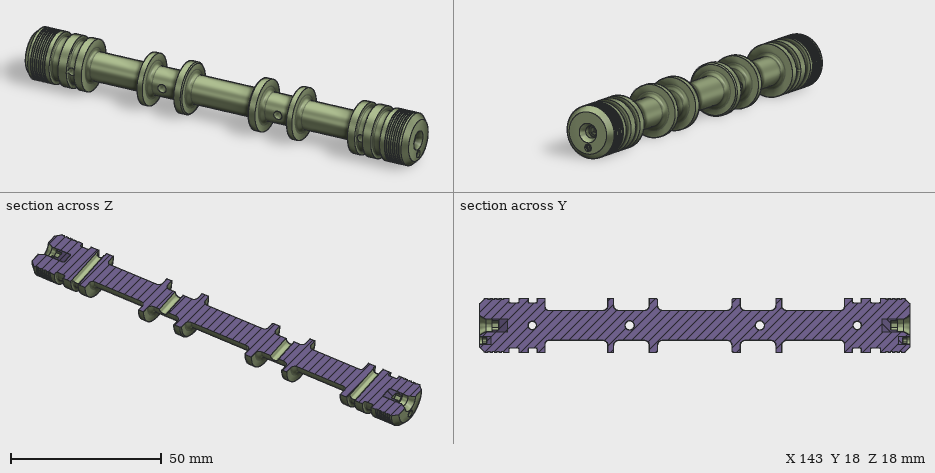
import cadquery as cq
LENGTH = 143.0
MIDDLE = LENGTH / 2

OUTER_DIA = 18.0
SHAFT_DIA = 10.0
SEAL_GROOVE_DIA = 15.0
RELIEF_GROOVE_DIA = 17.5
OUTER_R = OUTER_DIA / 2
SHAFT_R = SHAFT_DIA / 2
SEAL_GROOVE_R = SEAL_GROOVE_DIA / 2

END_CHAMFER = 1.9
OUTER_SEAL_GROOVE = (9.9, 13.2)
PORT_GROOVE = (16.3, 19.2)
HEAD_END = 21.9
OUTER_COLLAR = (42.6, 44.6)
INNER_COLLAR = (56.3, 59.2)
COLLAR_CHAMFER = 0.5
HEAD_FILLET = 1.1
COLLAR_FILLET = 1.6
SEAL_GROOVE_FILLET = 0.5

RELIEF_COUNT = 4
RELIEF_FIRST = 3.22
RELIEF_PITCH = 1.5
RELIEF_WIDTH = 0.7

PORT_HOLE_DIA = 2.7
PORT_HOLE_X = 17.6
SHAFT_HOLE_DIA = 3.0
SHAFT_HOLE_X = 49.9

SOCKET_SIDES = 6

CENTRE_SCREW_DIA = 4.1
CENTRE_SCREW_LENGTH = 5.0
CENTRE_SCREW_RECESS = 4.3
CENTRE_SOCKET_DIA = 3.0
CENTRE_SOCKET_DEPTH = 2.1
COUNTERSINK_DIA = 6.6
COUNTERSINK_DEPTH = 2.1

OFFSET_SCREW_DIA = 2.5
OFFSET_SCREW_LENGTH = 2.9
OFFSET_SCREW_RECESS = 1.0
OFFSET_SCREW_Z = -5.0
OFFSET_SOCKET_DIA = 1.9
OFFSET_SOCKET_DEPTH = 1.5

AXIS_START = (0, 0, 0)
AXIS_END = (1, 0, 0)


def mirrored(body):
    """The same body at the other end of the spool."""
    return body.mirror("YZ", (MIDDLE, 0, 0))


def both_ends(body):
    """The solids of a body at the left end and of its copy at the right end."""
    return [placed.solids().val() for placed in (body, mirrored(body))]


def cylinder_x(diameter, start, length, z=0.0):
    """A cylinder along X."""
    return cq.Workplane("YZ", origin=(start, 0, z)).circle(diameter / 2).extrude(length)


def cylinder_y(diameter, x):
    """A cylinder along Y that crosses the whole spool."""
    return cq.Workplane("XZ", origin=(x, 0, 0)).circle(diameter / 2).extrude(OUTER_DIA, both=True)


def collar_outline(outline, start, end, end_chamfer=0.0):
    """Continue the outline from the shaft over a collar and back to the shaft."""
    outline = (
        outline.lineTo(start - COLLAR_FILLET, SHAFT_R)
        .radiusArc((start, SHAFT_R + COLLAR_FILLET), -COLLAR_FILLET)
        .lineTo(start, OUTER_R)
        .lineTo(end - end_chamfer, OUTER_R)
    )
    if end_chamfer:
        outline = outline.lineTo(end, OUTER_R - end_chamfer)
    outline = outline.lineTo(end, SHAFT_R + COLLAR_FILLET)
    return outline.radiusArc((end + COLLAR_FILLET, SHAFT_R), -COLLAR_FILLET)


def seal_groove_outline(outline, start, end):
    """Continue the outline through a groove whose floor is rounded into both walls."""
    fillet_top = SEAL_GROOVE_R + SEAL_GROOVE_FILLET
    return (
        outline.lineTo(start, OUTER_R)
        .lineTo(start, fillet_top)
        .radiusArc((start + SEAL_GROOVE_FILLET, SEAL_GROOVE_R), -SEAL_GROOVE_FILLET)
        .lineTo(end - SEAL_GROOVE_FILLET, SEAL_GROOVE_R)
        .radiusArc((end, fillet_top), -SEAL_GROOVE_FILLET)
        .lineTo(end, OUTER_R)
    )


def half_turning():
    """The left half of the turned spool, without its narrow grooves and holes."""
    outline = cq.Workplane("XY").lineTo(0, OUTER_R - END_CHAMFER).lineTo(END_CHAMFER, OUTER_R)
    outline = seal_groove_outline(outline, *OUTER_SEAL_GROOVE)
    outline = seal_groove_outline(outline, *PORT_GROOVE)
    outline = (
        outline.lineTo(HEAD_END, OUTER_R)
        .lineTo(HEAD_END, SHAFT_R + HEAD_FILLET)
        .radiusArc((HEAD_END + HEAD_FILLET, SHAFT_R), -HEAD_FILLET)
    )
    outline = collar_outline(outline, *OUTER_COLLAR)
    outline = collar_outline(outline, *INNER_COLLAR, end_chamfer=COLLAR_CHAMFER)
    outline = outline.lineTo(MIDDLE, SHAFT_R).lineTo(MIDDLE, 0).close()
    return outline.revolve(360, AXIS_START, AXIS_END)


def relief_groove(index):
    """The ring of material removed by one narrow groove."""
    start = RELIEF_FIRST + index * RELIEF_PITCH - RELIEF_WIDTH / 2
    ring = cq.Workplane("YZ", origin=(start, 0, 0)).circle(OUTER_DIA).circle(RELIEF_GROOVE_DIA / 2)
    return ring.extrude(RELIEF_WIDTH)


def countersink():
    """The cone that opens the centre hole at the end face."""
    return (
        cq.Workplane("XY")
        .lineTo(0, COUNTERSINK_DIA / 2)
        .lineTo(COUNTERSINK_DEPTH, CENTRE_SCREW_DIA / 2)
        .lineTo(COUNTERSINK_DEPTH, 0)
        .close()
        .revolve(360, AXIS_START, AXIS_END)
    )


def make_spool():
    """The whole spool with its grooves, cross holes and screw holes."""
    half = half_turning()
    for index in range(RELIEF_COUNT):
        half = half.cut(relief_groove(index))
    half = half.cut(cylinder_y(PORT_HOLE_DIA, PORT_HOLE_X))
    half = half.cut(cylinder_y(SHAFT_HOLE_DIA, SHAFT_HOLE_X))
    half = half.cut(countersink())
    half = half.cut(cylinder_x(CENTRE_SCREW_DIA, 0, CENTRE_SCREW_RECESS + CENTRE_SCREW_LENGTH))
    half = half.cut(cylinder_x(OFFSET_SCREW_DIA, 0, OFFSET_SCREW_RECESS + OFFSET_SCREW_LENGTH, OFFSET_SCREW_Z))
    return half.union(mirrored(half))


def socket_screw(diameter, length, recess, socket_dia, socket_depth, z=0.0):
    """A headless screw with a hexagon socket; two corners of the socket lie on the Z direction."""
    socket = (
        cq.Workplane("YZ", origin=(recess, 0, z))
        .transformed(rotate=(0, 0, 90))
        .polygon(SOCKET_SIDES, socket_dia)
        .extrude(socket_depth)
    )
    return cylinder_x(diameter, recess, length, z).cut(socket)


def make_centre_screw():
    return socket_screw(
        CENTRE_SCREW_DIA, CENTRE_SCREW_LENGTH, CENTRE_SCREW_RECESS, CENTRE_SOCKET_DIA, CENTRE_SOCKET_DEPTH
    )


def make_offset_screw():
    return socket_screw(
        OFFSET_SCREW_DIA,
        OFFSET_SCREW_LENGTH,
        OFFSET_SCREW_RECESS,
        OFFSET_SOCKET_DIA,
        OFFSET_SOCKET_DEPTH,
        OFFSET_SCREW_Z,
    )


spool = make_spool()
centre_screws = both_ends(make_centre_screw())
offset_screws = both_ends(make_offset_screw())

result = cq.Compound.makeCompound([spool.solids().val(), *centre_screws, *offset_screws])